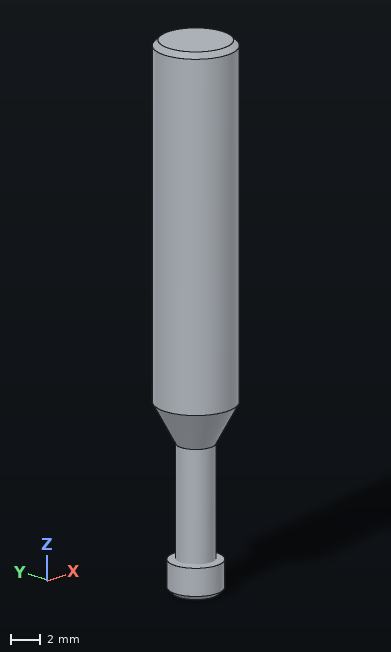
import cadquery as cq

total_length = 40.0
shank_diameter = 6.0
shank_chamfer = 0.4
neck_diameter = 2.8
head_diameter = 4.0
head_height = 2.4
head_chamfer = 0.35
neck_root_radius = 0.1
taper_start = 10.8
taper_end = 13.8

head = (
    cq.Workplane("XY")
    .circle(head_diameter / 2)
    .extrude(head_height)
    .faces("<Z")
    .edges()
    .chamfer(head_chamfer)
)

neck_radius = neck_diameter / 2
neck = (
    cq.Workplane("XZ")
    .moveTo(0, head_height)
    .lineTo(neck_radius + neck_root_radius, head_height)
    .radiusArc((neck_radius, head_height + neck_root_radius), neck_root_radius)
    .lineTo(neck_radius, taper_start)
    .lineTo(0, taper_start)
    .close()
    .revolve(360, (0, 0, 0), (0, 1, 0))
)

taper = (
    cq.Workplane("XY", origin=(0, 0, taper_start))
    .circle(neck_radius)
    .workplane(offset=taper_end - taper_start)
    .circle(shank_diameter / 2)
    .loft(ruled=True)
)

shank = (
    cq.Workplane("XY", origin=(0, 0, taper_end))
    .circle(shank_diameter / 2)
    .extrude(total_length - taper_end)
    .faces(">Z")
    .edges()
    .chamfer(shank_chamfer)
)

result = head.union(neck).union(taper).union(shank)